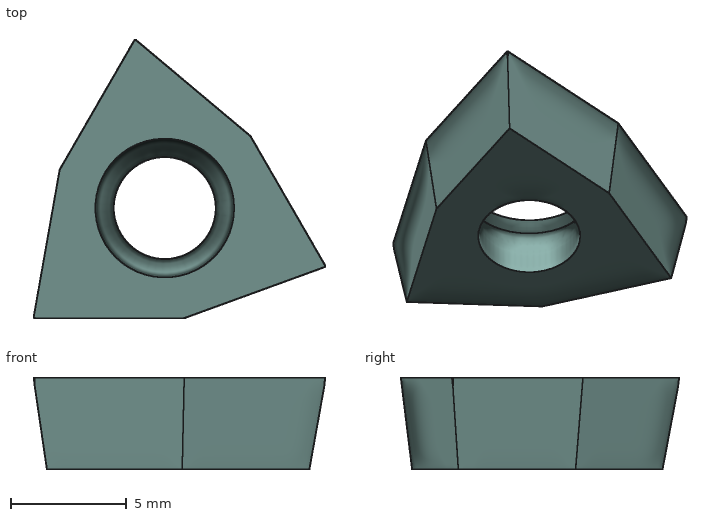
import cadquery as cq
import math

thickness = 3.97
inscribed_radius = 9.525 / 2
clearance_angle = 7.0
nose_radius = 0.05
sharp_corner_count = 3
sharp_corner_angle = 80.0
sharp_corner_direction = -20.0

corner_pitch = 360.0 / sharp_corner_count
blunt_corner_angle = 720.0 / sharp_corner_count - sharp_corner_angle

recess_radius = 3.0
recess_depth = 0.81
bore_radius = 2.2
funnel_arc_radius = 3.0


def polar(radius, direction):
    """Point in the XY plane at a distance and direction from the Z axis."""
    angle = math.radians(direction)
    return (radius * math.cos(angle), radius * math.sin(angle))


def make_body():
    """Insert without its hole: the top outline extruded down with clearance.

    Each nose rounding narrows to a point a little below the top face, and the
    corner is sharp from there down.
    """
    sharp_sine = math.sin(math.radians(sharp_corner_angle / 2))
    blunt_sine = math.sin(math.radians(blunt_corner_angle / 2))
    nose_center = (inscribed_radius - nose_radius) / sharp_sine
    blunt_corner = inscribed_radius / blunt_sine
    tangent_along = nose_center + nose_radius * sharp_sine
    tangent_across = nose_radius * math.cos(math.radians(sharp_corner_angle / 2))
    tangent_radius = math.hypot(tangent_along, tangent_across)
    tangent_angle = math.degrees(math.atan2(tangent_across, tangent_along))

    top_face = cq.Workplane("XY", origin=(0, 0, thickness))
    outline = top_face.moveTo(*polar(blunt_corner, sharp_corner_direction - corner_pitch / 2))
    for index in range(sharp_corner_count):
        direction = sharp_corner_direction + index * corner_pitch
        outline = outline.lineTo(*polar(tangent_radius, direction - tangent_angle)).threePointArc(
            polar(nose_center + nose_radius, direction),
            polar(tangent_radius, direction + tangent_angle),
        )
        if index < sharp_corner_count - 1:
            outline = outline.lineTo(*polar(blunt_corner, direction + corner_pitch / 2))
    return outline.close().extrude(-thickness, taper=clearance_angle)


def make_hole():
    """Turned shape of the screw hole; the funnel runs tangent into the bore."""
    funnel_width = recess_radius - bore_radius
    funnel_height = math.sqrt(funnel_arc_radius**2 - (funnel_arc_radius - funnel_width) ** 2)
    funnel_top = thickness - recess_depth
    funnel_bottom = funnel_top - funnel_height
    half_sweep = math.asin(funnel_height / funnel_arc_radius) / 2
    arc_middle = (
        bore_radius + funnel_arc_radius * (1 - math.cos(half_sweep)),
        funnel_bottom + funnel_arc_radius * math.sin(half_sweep),
    )
    return (
        cq.Workplane("XZ")
        .moveTo(0, 0)
        .lineTo(bore_radius, 0)
        .lineTo(bore_radius, funnel_bottom)
        .threePointArc(arc_middle, (recess_radius, funnel_top))
        .lineTo(recess_radius, thickness)
        .lineTo(0, thickness)
        .close()
        .revolve(360, (0, 0, 0), (0, 1, 0))
    )


result = make_body().cut(make_hole())